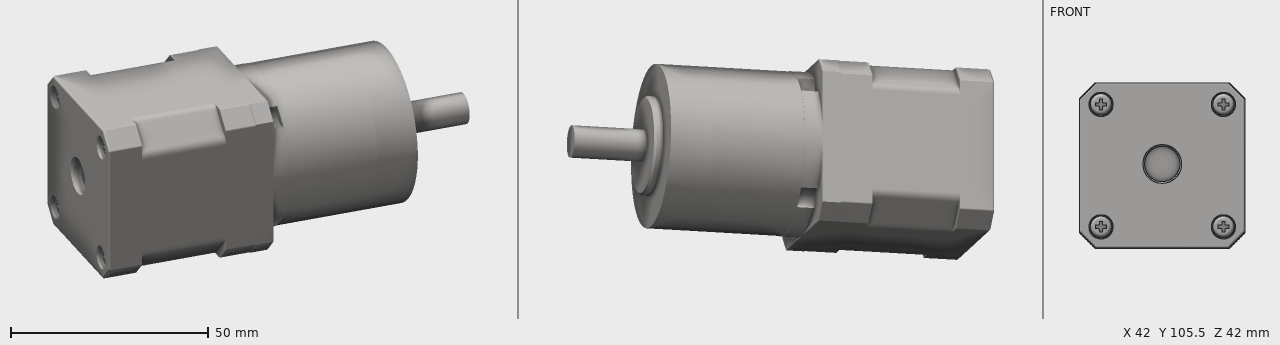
import cadquery as cq


REAR_CAP_END = 9.1
STATOR_END = 32.0
FRONT_CAP_END = 40.2
PLATE_END = 44.9
COLLAR_END = 49.5
RING_GEAR_END = 73.6
COVER_END = 84.5
BOSS_END = 86.7
SHAFT_END = 105.5

WIDTH = 42.0
CAP_CORNER = 4.2
CAP_EDGE_RADIUS = 0.5
STATOR_CORNER = 7.0
STATOR_EDGE_RADIUS = 2.7
PLATE_CORNER = 4.0

CENTRE_HOLE_DIAMETER = 9.0
CENTRE_HOLE_DEPTH = 2.6
CENTRE_HOLE_CHAMFER = 0.4
CENTRE_HOLE_RAISE = 0.4

SCREW_SPACING = 31.0
SCREW_RECESS_DIAMETER = 6.1
SCREW_RECESS_DEPTH = 3.7
SCREW_HEAD_DIAMETER = 5.5
SCREW_HEAD_HEIGHT = 2.5
SCREW_HEAD_EDGE = 1.0
CROSS_LENGTH = 2.7
CROSS_WIDTH = 0.8
CROSS_DEPTH = 1.1
CROSS_CORE = 1.5

NOTCH_RADIUS = 3.2
GEARBOX_DIAMETER = 41.8
BOSS_DIAMETER = 25.3
BOSS_CHAMFER = 0.6
SHAFT_DIAMETER = 8.2

SCREW_CENTRES = [
    (x * SCREW_SPACING / 2, z * SCREW_SPACING / 2) for x in (-1, 1) for z in (-1, 1)
]


def section_at(y):
    """Work plane across the axis at station y, facing +Y, with local axes -X and Z."""
    return cq.Workplane("XZ", origin=(0, y, 0)).transformed(rotate=(0, 180, 0))


def disc(diameter, start, end):
    return section_at(start).circle(diameter / 2).extrude(end - start)


def discs_at_screws(diameter, start, end):
    return section_at(start).pushPoints(SCREW_CENTRES).circle(diameter / 2).extrude(end - start)


def bevelled_square(corner, start, end):
    """Square block whose four long edges are cut back by `corner`."""
    block = section_at(start).rect(WIDTH, WIDTH).extrude(end - start)
    return block.edges("|Y").chamfer(corner)


def centre_hole():
    """Blind round hole with a bevelled mouth, a little above the motor axis."""
    radius = CENTRE_HOLE_DIAMETER / 2
    mouth = section_at(0).circle(radius + CENTRE_HOLE_CHAMFER)
    mouth = mouth.workplane(offset=CENTRE_HOLE_CHAMFER).circle(radius).loft()
    hole = disc(CENTRE_HOLE_DIAMETER, 0, CENTRE_HOLE_DEPTH).union(mouth)
    return hole.translate((0, 0, CENTRE_HOLE_RAISE))


def make_rear_cap():
    cap = bevelled_square(CAP_CORNER, 0, REAR_CAP_END).edges("|Y or <Y").fillet(CAP_EDGE_RADIUS)
    cap = cap.cut(centre_hole())
    return cap.cut(discs_at_screws(SCREW_RECESS_DIAMETER, 0, SCREW_RECESS_DEPTH))


def cross_recess(top):
    """Two crossed slots with a diagonal square core that bevels their inner corners."""
    slots = section_at(top).rect(CROSS_LENGTH, CROSS_WIDTH).extrude(CROSS_DEPTH)
    slots = slots.union(section_at(top).rect(CROSS_WIDTH, CROSS_LENGTH).extrude(CROSS_DEPTH))
    core = section_at(top).rect(CROSS_CORE, CROSS_CORE).extrude(CROSS_DEPTH)
    return slots.union(core.rotate((0, 0, 0), (0, 1, 0), 45))


def make_screw(x, z):
    """Rounded head with a cross recess, seated on the floor of its recess in the rear cap."""
    top = SCREW_RECESS_DEPTH - SCREW_HEAD_HEIGHT
    head = disc(SCREW_HEAD_DIAMETER, top, SCREW_RECESS_DEPTH)
    head = head.faces("<Y").edges().fillet(SCREW_HEAD_EDGE)
    return head.cut(cross_recess(top)).translate((x, 0, z))


def make_stator():
    stator = bevelled_square(STATOR_CORNER, REAR_CAP_END, STATOR_END)
    return stator.edges("|Y").fillet(STATOR_EDGE_RADIUS)


def make_front_cap():
    cap = bevelled_square(CAP_CORNER, STATOR_END, FRONT_CAP_END)
    return cap.edges("|Y").fillet(CAP_EDGE_RADIUS)


def make_adapter():
    """Bevelled plate with a round collar notched where the screws pass."""
    collar = disc(WIDTH, PLATE_END, COLLAR_END)
    collar = collar.cut(discs_at_screws(2 * NOTCH_RADIUS, PLATE_END, COLLAR_END))
    return bevelled_square(PLATE_CORNER, FRONT_CAP_END, PLATE_END).union(collar)


def make_ring_gear():
    return disc(GEARBOX_DIAMETER, COLLAR_END, RING_GEAR_END)


def make_output_end():
    """Gearbox cover with its centring boss and the output shaft."""
    cover = disc(GEARBOX_DIAMETER, RING_GEAR_END, COVER_END)
    boss = disc(BOSS_DIAMETER, COVER_END, BOSS_END).faces(">Y").edges().chamfer(BOSS_CHAMFER)
    return cover.union(boss).union(disc(SHAFT_DIAMETER, BOSS_END, SHAFT_END))


rear_cap = make_rear_cap()
screws = [make_screw(x, z) for x, z in SCREW_CENTRES]
stator = make_stator()
front_cap = make_front_cap()
adapter = make_adapter()
ring_gear = make_ring_gear()
output_end = make_output_end()

result = cq.Compound.makeCompound(
    [
        rear_cap.val(),
        *[screw.val() for screw in screws],
        stator.val(),
        front_cap.val(),
        adapter.val(),
        ring_gear.val(),
        output_end.val(),
    ]
)